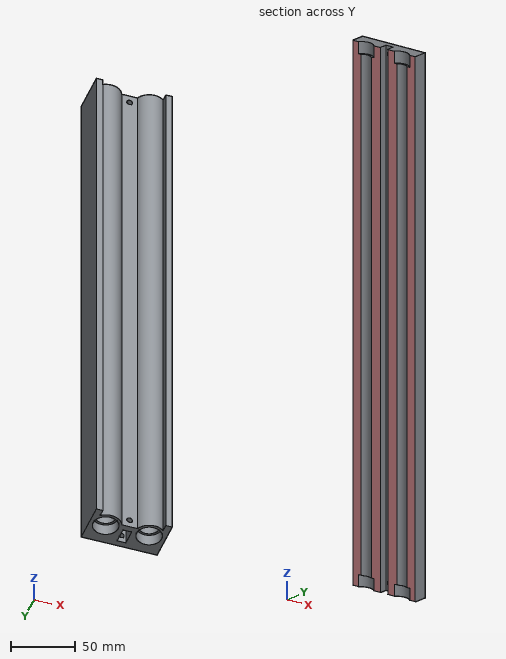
import cadquery as cq

length = 448.0
width = 62.5
depth = 35.0
back_y = depth / 2
front_y = -depth / 2

leg_thickness = 5.5
web_front_y = -6.5

tube_x = 18.0
tube_y = -1.55
tube_radius = 12.5
bore_radius = 8.5

mouth_radius = 10.5
mouth_depth = 10.0

channel_width = 7.0
channel_back_y = 12.0
channel_front_y = -1.5

cross_hole_diameter = 4.5
cross_hole_end_distance = 6.5

TUBE_CENTRES = [(-tube_x, tube_y), (tube_x, tube_y)]


def block(x_size, y_min, y_max):
    """Full-length bar centred on X, between two Y positions."""
    bar = cq.Workplane("XY").box(x_size, y_max - y_min, length, centered=(True, False, False))
    return bar.translate((0, y_min, 0))


def tube_cylinders(radius, z_start, height):
    """A pair of vertical cylinders, one on each tube axis."""
    return cq.Workplane("XY").workplane(offset=z_start).pushPoints(TUBE_CENTRES).circle(radius).extrude(height)


def outer_profile():
    """Back plate with two legs, and the tubes standing in the front recess."""
    recess = block(width - 2 * leg_thickness, front_y, web_front_y)
    return block(width, front_y, back_y).cut(recess).union(tube_cylinders(tube_radius, 0, length))


def cross_holes():
    """Holes along Y, through the web and the back plate."""
    heights = [cross_hole_end_distance, length - cross_hole_end_distance]
    return (
        cq.Workplane("XZ", origin=(0, back_y, 0))
        .pushPoints([(0, z) for z in heights])
        .circle(cross_hole_diameter / 2)
        .extrude(depth)
    )


result = outer_profile().cut(tube_cylinders(bore_radius, 0, length))
for mouth_start in (0, length - mouth_depth):
    result = result.cut(tube_cylinders(mouth_radius, mouth_start, mouth_depth))
result = result.cut(block(channel_width, channel_front_y, channel_back_y))
result = result.cut(cross_holes())